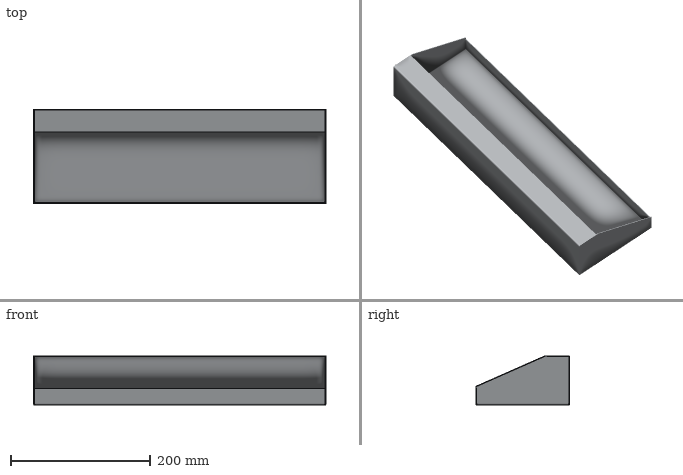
import cadquery as cq

length = 420.0
depth = 135.0
height = 71.0

sheet = 1.0
bend_radius = 2.0
inner_radius = bend_radius - sheet

flange_depth = 32.0
side_top_depth = 35.0
side_front_height = 27.0
front_wall_height = 24.0
side_top = height - sheet

front = -depth / 2
back = depth / 2


def block(size_x, y_min, y_max, z_min, z_max):
    """Box centred on X between the given Y and Z limits."""
    return (
        cq.Workplane("XY")
        .box(size_x, y_max - y_min, z_max - z_min, centered=(True, False, False))
        .translate((0, y_min, z_min))
    )


def folded_tray():
    """Open tray with rounded bends between the floor and its four walls."""
    outside = block(length, front, back, 0, height).faces("<Z").edges().fillet(bend_radius)
    inside = block(length - 2 * sheet, front + sheet, back - sheet, sheet, height)
    inside = inside.faces("<Z").edges().fillet(inner_radius)
    return outside.cut(inside)


def side_trim():
    """Space above the side panels, with a seat for the flange and a sloping front."""
    return (
        cq.Workplane("YZ")
        .moveTo(front, side_front_height)
        .lineTo(back - side_top_depth, height)
        .lineTo(back - flange_depth, height)
        .lineTo(back - flange_depth, side_top)
        .lineTo(back - sheet, side_top)
        .lineTo(back - sheet, height + sheet)
        .lineTo(front, height + sheet)
        .close()
        .extrude(length / 2, both=True)
    )


def front_trim():
    """Space above the front wall between the side panels."""
    return block(length - 2 * sheet, front, front + sheet, front_wall_height, height)


def rear_flange():
    """Top flange folded forward from the back wall."""
    outside = block(length, back - flange_depth, back, side_top - bend_radius, height)
    outside = outside.edges("|X and >Y and >Z").fillet(bend_radius)
    inside = block(length, back - flange_depth, back - sheet, side_top - bend_radius, side_top)
    inside = inside.edges("|X and >Y and >Z").fillet(inner_radius)
    return outside.cut(inside)


tray = folded_tray().cut(side_trim()).cut(front_trim())
tray = tray.cut(block(length, back - sheet, back, side_top - bend_radius, height))
result = tray.union(rear_flange())